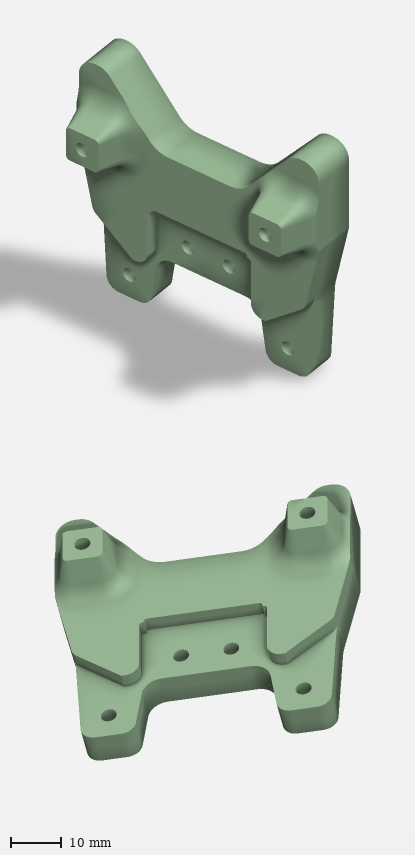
import cadquery as cq
import math

width = 59.05
height = 56.8
depth = 18.0
half_width = width / 2

plate_thickness = 6.7
slab_thickness = 9.8

horn_inner_x = 23.15
notch_x = 10.4
notch_z = 42.05
side_bend_z = 36.1
waist_x = 26.1
waist_z = 20.4
foot_outer_x = 25.0
foot_inner_x = 14.4
arch_x = 12.4
arch_z = 13.5

horn_radius = 4.0
notch_radius = 6.0
waist_radius = 11.8
foot_radius = 3.0
arch_radius = 4.0

recess_x = 12.8
recess_z = 27.3
recess_step = 0.95
recess_step_radius = 0.65
lobe_x = 16.35
lobe_z = 12.7
lobe_radius = 2.8

boss_x = 22.5
boss_z = 42.0
boss_tip_size = 8.0
boss_tip_radius = 1.0
boss_draft = 17.4
boss_flare_radius = 4.0

hole_diameter = 3.2
center_hole_x = 5.0
center_hole_z = 19.0
foot_hole_x = 19.5
foot_hole_z = 5.5

pick_margin = 0.05
trim_margin = 5.9


def mirrored_prism(half_points, length):
    """Prism over a symmetric outline, given as (half width, height) from top to bottom."""
    left = [(-x, z) for x, z in half_points]
    right = list(reversed(half_points))
    return cq.Workplane("XZ").polyline(left + right).close().extrude(length)


def round_corners(body, x, z, radius):
    """Round the pair of Y edges that stand at (-x, z) and (x, z)."""
    for side in (-1, 1):
        corner = cq.selectors.BoxSelector(
            (side * x - pick_margin, -depth, z - pick_margin),
            (side * x + pick_margin, depth, z + pick_margin),
        )
        body = body.edges("|Y").edges(corner).fillet(radius)
    return body


def make_outline_prism():
    """Full outline of the part, as deep as the boss tips."""
    corners = [
        (notch_x, notch_z, notch_radius),
        (horn_inner_x, height, horn_radius),
        (half_width, height, horn_radius),
        (half_width, side_bend_z, None),
        (waist_x, waist_z, waist_radius),
        (foot_outer_x, 0, foot_radius),
        (foot_inner_x, 0, foot_radius),
        (arch_x, arch_z, arch_radius),
    ]
    prism = mirrored_prism([(x, z) for x, z, _ in corners], depth)
    for x, z, radius in corners:
        if radius:
            prism = round_corners(prism, x, z, radius)
    return prism


def make_slab():
    """Thick upper body; its top and sides are left oversize for trimming."""
    slope = (half_width - waist_x) / (side_bend_z - waist_z)
    top_z = height + trim_margin
    top_x = waist_x + slope * (top_z - waist_z)
    step_x = recess_x - recess_step
    step_z = recess_z - recess_step
    corners = [
        (top_x, top_z),
        (waist_x, waist_z),
        (lobe_x, lobe_z),
        (recess_x, lobe_z),
        (recess_x, step_z),
        (step_x, step_z),
        (step_x, recess_z),
    ]
    slab = mirrored_prism(corners, slab_thickness)
    slab = round_corners(slab, waist_x, waist_z, lobe_radius)
    slab = round_corners(slab, recess_x, lobe_z, lobe_radius)
    slab = round_corners(slab, recess_x, step_z, recess_step_radius)
    return round_corners(slab, step_x, recess_z, recess_step_radius)


def make_boss(side):
    """Drafted square boss with a flared foot on an oversize pad."""
    boss_height = depth - slab_thickness
    base_growth = boss_height * math.tan(math.radians(boss_draft))
    base_size = boss_tip_size + 2 * base_growth
    base_radius = boss_tip_radius + base_growth
    pad_size = base_size + 4 * boss_flare_radius
    pad_thickness = slab_thickness - plate_thickness

    pad = (
        cq.Workplane("XZ", origin=(0, -plate_thickness, 0))
        .rect(pad_size, pad_size)
        .extrude(pad_thickness)
    )
    base_outline = cq.Sketch().rect(base_size, base_size).vertices().fillet(base_radius)
    shaft = (
        cq.Workplane("XZ", origin=(0, -slab_thickness, 0))
        .placeSketch(base_outline)
        .extrude(boss_height, taper=boss_draft)
    )
    reach = base_size / 2 + pick_margin
    base_edges = cq.selectors.BoxSelector(
        (-reach, -slab_thickness - pick_margin, -reach),
        (reach, -slab_thickness + pick_margin, reach),
    )
    boss = pad.union(shaft).edges(base_edges).fillet(boss_flare_radius)
    return boss.translate((side * boss_x, 0, boss_z))


def make_holes():
    """Cylinders for the three mirrored pairs of through holes."""
    pairs = [
        (boss_x, boss_z),
        (center_hole_x, center_hole_z),
        (foot_hole_x, foot_hole_z),
    ]
    centers = [(side * x, z) for side in (-1, 1) for x, z in pairs]
    return cq.Workplane("XZ").pushPoints(centers).circle(hole_diameter / 2).extrude(depth)


outline_prism = make_outline_prism()
plate = outline_prism.intersect(
    cq.Workplane("XY").box(width, plate_thickness, height, centered=(True, False, False))
    .translate((0, -plate_thickness, 0))
)

raised_body = make_slab().union(make_boss(-1)).union(make_boss(1)).intersect(outline_prism)

result = plate.union(raised_body).cut(make_holes())